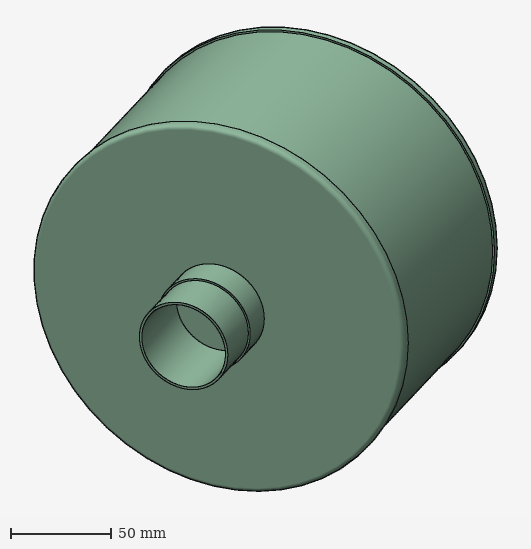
import cadquery as cq

rim_diameter = 203.0
drum_diameter = 201.0
end_face_diameter = 198.3
rim_width = 5.3
rim_rounding = (rim_diameter - end_face_diameter) / 2

sleeve_diameter = 50.3
tube_diameter = 48.3
bore_diameter = 45.7
sleeve_length = 17.5
spigot_length = 42.8

overall_length = 160.2
drum_length = overall_length - spigot_length

rear_y = drum_length
tip_y = -spigot_length


def cylinder_along_y(diameter, start_y, length):
    """Solid cylinder on the Y axis, from start_y toward +Y."""
    return cq.Workplane("XZ", origin=(0, start_y, 0)).circle(diameter / 2).extrude(-length)


def rim(start_y, outer_edge):
    """Raised end band, rounded on the edge that meets the end face."""
    band = cylinder_along_y(rim_diameter, start_y, rim_width)
    return band.faces(outer_edge).edges().fillet(rim_rounding)


drum = (
    cylinder_along_y(drum_diameter, rim_width, drum_length - 2 * rim_width)
    .union(rim(0, "<Y"))
    .union(rim(rear_y - rim_width, ">Y"))
)

sleeve = cylinder_along_y(sleeve_diameter, -sleeve_length, sleeve_length)
tube = cylinder_along_y(tube_diameter, tip_y, spigot_length)

bore = cylinder_along_y(bore_diameter, tip_y, spigot_length)

result = drum.union(sleeve).union(tube).cut(bore)